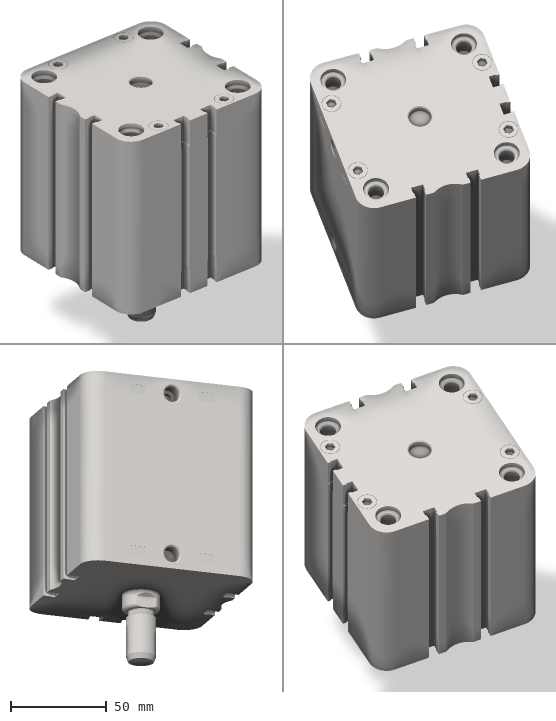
import cadquery as cq
import math

BODY_WIDTH = 95.5
HALF = BODY_WIDTH / 2
BODY_HEIGHT = 104.2
CAP_HEIGHT = 15.2
BARREL_HEIGHT = BODY_HEIGHT - 2 * CAP_HEIGHT
TOTAL_HEIGHT = 141.0
ROD_REACH = TOTAL_HEIGHT - BODY_HEIGHT
CORNER_RADIUS = 10.0

SIDE_SLOT_OFFSET = 15.1
SIDE_SLOT = dict(mouth=5.6, mouth_depth=3.1, inner=6.6, depth=6.6)
EDGE_SLOT_OFFSET = 9.0
CAP_EDGE_SLOT = dict(mouth=6.0, mouth_depth=2.0, inner=7.2, depth=5.8)
BARREL_EDGE_SLOT = dict(mouth=5.4, mouth_depth=2.0, inner=6.3, depth=5.2)
HOLLOW_WIDTH = 16.0
HOLLOW_DEPTH = 2.5

PORT_DIAMETER = 8.6
PORT_CHAMFER = 0.7
PORT_DEPTH = 8.5
PORT_HEIGHT = 8.0
NOZZLE_DIAMETER = 5.0
NOZZLE_DEPTH = 2.8
LABEL_OFFSET = 19.0
LABEL_WIDTH = 8.3
LABEL_HEIGHT = 4.8
LABEL_DEPTH = 0.1
LABEL_RISE = 0.3

MOUNT_OFFSET = 36.0
MOUNT_COUNTERBORE = 13.5
MOUNT_COUNTERBORE_DEPTH = 3.0
MOUNT_DIAMETER = 8.3
MOUNT_CHAMFER = 0.7
MOUNT_DEPTH = 12.7
SCREW_X = 41.5
SCREW_Y = 22.1
SCREW_HOLE_DIAMETER = 10.3
SCREW_HEAD_DIAMETER = 9.9
SCREW_GAP_DEPTH = 0.7
HEX_ACROSS_FLATS = 5.0
HEX_DEPTH = 2.8
CENTRE_DIAMETER = 12.0
CENTRE_CHAMFER = 0.5
CENTRE_DEPTH = 4.0

ROD_DIAMETER = 20.0
SHOULDER_Z = -9.3
SHOULDER_ROUND = 2.0
FLAT_HALF_WIDTH = 8.3
FLAT_TOP_Z = -3.4
NECK_DIAMETER = 13.5
NECK_END_Z = -11.8
THREAD_DIAMETER = 16.0
THREAD_LEAD = 1.0
TIP_HEIGHT = 3.0


def block(height):
    """Square block with rounded upright edges, standing on Z = 0."""
    return (
        cq.Workplane("XY")
        .rect(BODY_WIDTH, BODY_WIDTH)
        .extrude(height)
        .edges("|Z")
        .fillet(CORNER_RADIUS)
    )


def slot_cutter(slot, offset, angle, height):
    """T-slot in the +X face at Y = offset, turned about Z by the angle."""
    mouth = cq.Workplane("XY").box(
        slot["mouth_depth"], slot["mouth"], height, centered=(False, True, False)
    ).translate((HALF - slot["mouth_depth"], offset, 0))
    inner_length = slot["depth"] - slot["mouth_depth"]
    inner = cq.Workplane("XY").box(
        inner_length, slot["inner"], height, centered=(False, True, False)
    ).translate((HALF - slot["depth"], offset, 0))
    return mouth.union(inner).rotate((0, 0, 0), (0, 0, 1), angle)


def hollow_cutter(side, height):
    """Upright cylinder that cuts a shallow hollow into the -Y (side -1) or +Y (side 1) face."""
    radius = ((HOLLOW_WIDTH / 2) ** 2 + HOLLOW_DEPTH ** 2) / (2 * HOLLOW_DEPTH)
    axis = HALF - HOLLOW_DEPTH + radius
    return cq.Workplane("XY").center(0, side * axis).circle(radius).extrude(height)


def profile(height, edge_slot):
    """Length of the body profile with all its slots and hollows."""
    body = block(height)
    for side in (-1, 1):
        body = body.cut(slot_cutter(edge_slot, side * EDGE_SLOT_OFFSET, 0, height))
        body = body.cut(hollow_cutter(side, height))
        for angle in (90, -90):
            body = body.cut(slot_cutter(SIDE_SLOT, side * SIDE_SLOT_OFFSET, angle, height))
    return body


def chamfered_hole(diameter, chamfer, depth):
    """Cutter for a blind hole: mouth at Z = 0, widened by a chamfer, going down."""
    radius = diameter / 2
    return (
        cq.Workplane("XZ")
        .moveTo(0, 0)
        .lineTo(radius + chamfer, 0)
        .lineTo(radius, -chamfer)
        .lineTo(radius, -depth)
        .lineTo(0, -depth)
        .close()
        .revolve(360, (0, 0, 0), (0, 1, 0))
    )


def add_port(cap, port_z, label_z):
    """Port and two label pockets in the -X face."""
    port = chamfered_hole(PORT_DIAMETER, PORT_CHAMFER, PORT_DEPTH)
    port = port.rotate((0, 0, 0), (0, 1, 0), -90).translate((-HALF, 0, port_z))
    label = cq.Workplane("XY").box(LABEL_DEPTH, LABEL_WIDTH, LABEL_HEIGHT, centered=(False, True, True))
    cap = cap.cut(port)
    for side in (-1, 1):
        cap = cap.cut(label.translate((-HALF, side * LABEL_OFFSET, label_z)))
    return cap


def make_rod_cap():
    """Cap at the rod end, bored for the rod."""
    cap = profile(CAP_HEIGHT, CAP_EDGE_SLOT)
    cap = add_port(cap, PORT_HEIGHT, PORT_HEIGHT - LABEL_RISE)
    rod_bore = cq.Workplane("XY").circle(ROD_DIAMETER / 2).extrude(CAP_HEIGHT)
    return cap.cut(rod_bore)


def make_barrel():
    """Middle length between the two caps."""
    return profile(BARREL_HEIGHT, BARREL_EDGE_SLOT).translate((0, 0, CAP_HEIGHT))


def mounting_hole():
    """Counterbored blind hole with a chamfer below the counterbore."""
    counterbore = cq.Workplane("XY").circle(MOUNT_COUNTERBORE / 2).extrude(-MOUNT_COUNTERBORE_DEPTH)
    hole_depth = MOUNT_DEPTH - MOUNT_COUNTERBORE_DEPTH
    hole = chamfered_hole(MOUNT_DIAMETER, MOUNT_CHAMFER, hole_depth)
    return counterbore.union(hole.translate((0, 0, -MOUNT_COUNTERBORE_DEPTH)))


def screw_recess():
    """Ring gap around a flush screw head and the hexagon socket inside it."""
    gap = (
        cq.Workplane("XY")
        .circle(SCREW_HOLE_DIAMETER / 2)
        .circle(SCREW_HEAD_DIAMETER / 2)
        .extrude(-SCREW_GAP_DEPTH)
    )
    across_corners = HEX_ACROSS_FLATS / math.cos(math.radians(30))
    socket = (
        cq.Workplane("XY")
        .polygon(6, across_corners)
        .extrude(-HEX_DEPTH)
        .rotate((0, 0, 0), (0, 0, 1), 30)
    )
    return gap.union(socket)


def make_head_cap():
    """Cap at the closed end with mounting holes, screw heads and a centring hole."""
    port_z = CAP_HEIGHT - PORT_HEIGHT
    cap = profile(CAP_HEIGHT, CAP_EDGE_SLOT)
    cap = add_port(cap, port_z, port_z + LABEL_RISE)
    nozzle = cq.Workplane("YZ").circle(NOZZLE_DIAMETER / 2).extrude(NOZZLE_DEPTH)
    cap = cap.cut(nozzle.translate((PORT_DEPTH - HALF, 0, port_z)))
    centre = chamfered_hole(CENTRE_DIAMETER, CENTRE_CHAMFER, CENTRE_DEPTH)
    cap = cap.cut(centre.translate((0, 0, CAP_HEIGHT)))
    mount = mounting_hole()
    screw = screw_recess()
    for x_side in (-1, 1):
        for y_side in (-1, 1):
            cap = cap.cut(mount.translate((x_side * MOUNT_OFFSET, y_side * MOUNT_OFFSET, CAP_HEIGHT)))
            cap = cap.cut(screw.translate((x_side * SCREW_X, y_side * SCREW_Y, CAP_HEIGHT)))
    return cap.translate((0, 0, BODY_HEIGHT - CAP_HEIGHT))


def make_rod():
    """Turned rod with a rounded shoulder, neck, thread blank and two wrench flats."""
    rod_radius = ROD_DIAMETER / 2
    neck_radius = NECK_DIAMETER / 2
    thread_radius = THREAD_DIAMETER / 2
    arc_in = SHOULDER_ROUND * (1 - math.sqrt(0.5))
    rod = (
        cq.Workplane("XZ")
        .moveTo(0, CAP_HEIGHT)
        .lineTo(rod_radius, CAP_HEIGHT)
        .lineTo(rod_radius, SHOULDER_Z + SHOULDER_ROUND)
        .threePointArc(
            (rod_radius - arc_in, SHOULDER_Z + arc_in),
            (rod_radius - SHOULDER_ROUND, SHOULDER_Z),
        )
        .lineTo(neck_radius, SHOULDER_Z)
        .lineTo(neck_radius, NECK_END_Z)
        .lineTo(thread_radius, NECK_END_Z - THREAD_LEAD)
        .lineTo(thread_radius, TIP_HEIGHT - ROD_REACH)
        .lineTo(neck_radius, -ROD_REACH)
        .lineTo(0, -ROD_REACH)
        .close()
        .revolve(360, (0, 0, 0), (0, 1, 0))
    )
    flat_depth = rod_radius - FLAT_HALF_WIDTH
    flat = (
        cq.Workplane("XZ")
        .moveTo(FLAT_HALF_WIDTH, SHOULDER_Z)
        .lineTo(FLAT_HALF_WIDTH, FLAT_TOP_Z)
        .lineTo(rod_radius, FLAT_TOP_Z + flat_depth)
        .lineTo(rod_radius, SHOULDER_Z)
        .close()
        .extrude(rod_radius, both=True)
    )
    return rod.cut(flat).cut(flat.mirror("YZ"))


rod_cap = make_rod_cap()
barrel = make_barrel()
head_cap = make_head_cap()
piston_rod = make_rod()

result = cq.Compound.makeCompound([rod_cap.val(), barrel.val(), head_cap.val(), piston_rod.val()])